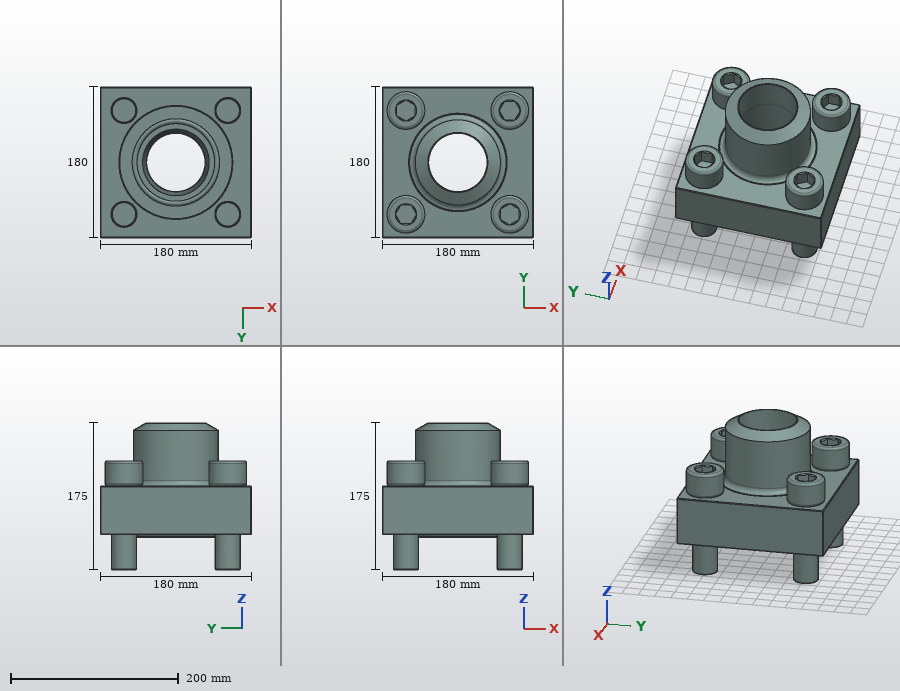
import cadquery as cq
import math

PLATE_TOP = 100.0
PLATE_THICKNESS = 58.0
PLATE_BOTTOM = PLATE_TOP - PLATE_THICKNESS
TUBE_TOP = 175.0
COLLAR_PROJECTION = 2.0
COLLAR_BOTTOM = PLATE_BOTTOM - COLLAR_PROJECTION

PLATE_SIDE = 180.0
PLATE_CHAMFER = 1.0
TUBE_HOLE_DIA = 115.5
TUBE_HOLE_CHAMFER = 1.0
COLLAR_RECESS_DIA = 136.0
BOLT_HOLE_DIA = 31.0

PIPE_DIA = 101.6
PIPE_BORE_DIA = 69.6
NECK_DIA = 115.0
COLLAR_DIA = 135.0
COLLAR_HEIGHT = 25.0
COLLAR_CHAMFER = 0.5
COLLAR_TOP = COLLAR_BOTTOM + COLLAR_HEIGHT
FOOT_BORE_DIA = 79.5
BORE_TAPER_TOP = 137.5
LIP_WIDTH = 1.0
BEVEL_ANGLE = 30.0
NECK_FILLET = (NECK_DIA - PIPE_DIA) / 2

GROOVE_INNER_DIA = 92.5
GROOVE_OUTER_DIA = 104.23
SEAL_THICKNESS = (GROOVE_OUTER_DIA - GROOVE_INNER_DIA) / 2
SEAL_MEAN_RADIUS = (GROOVE_OUTER_DIA + GROOVE_INNER_DIA) / 4
SEAL_PROJECTION = 1.6
GROOVE_DEPTH = SEAL_THICKNESS - SEAL_PROJECTION

BOLT_CIRCLE_DIA = 175.0
BOLT_COUNT = 4
SHANK_DIA = 30.0
SHANK_CHAMFER = 1.0
HEAD_DIA = 45.0
HEAD_HEIGHT = 30.0
HEAD_FILLET = 3.0
SOCKET_CORNER_DIA = 25.4
SOCKET_FLAT_DIA = SOCKET_CORNER_DIA * math.cos(math.pi / 6)
SOCKET_DEPTH = 18.0
FIRST_BOLT_ANGLE = 45.0
BOLT_ANGLES = [FIRST_BOLT_ANGLE + i * 360 / BOLT_COUNT for i in range(BOLT_COUNT)]


def cylinder(diameter, bottom, top):
    return cq.Workplane("XY").workplane(offset=bottom).circle(diameter / 2).extrude(top - bottom)


def make_plate():
    plate = (
        cq.Workplane("XY")
        .workplane(offset=PLATE_BOTTOM)
        .rect(PLATE_SIDE, PLATE_SIDE)
        .extrude(PLATE_THICKNESS)
        .edges()
        .chamfer(PLATE_CHAMFER)
    )
    plate = plate.cut(cylinder(TUBE_HOLE_DIA, PLATE_BOTTOM, PLATE_TOP))
    plate = plate.edges("%CIRCLE").edges(">Z").chamfer(TUBE_HOLE_CHAMFER)
    plate = plate.cut(cylinder(COLLAR_RECESS_DIA, PLATE_BOTTOM, COLLAR_TOP))
    bolt_holes = (
        cq.Workplane("XY")
        .workplane(offset=PLATE_BOTTOM)
        .polarArray(BOLT_CIRCLE_DIA / 2, FIRST_BOLT_ANGLE, 360, BOLT_COUNT)
        .circle(BOLT_HOLE_DIA / 2)
        .extrude(PLATE_THICKNESS)
    )
    return plate.cut(bolt_holes)


def make_tube():
    lip_radius = PIPE_BORE_DIA / 2 + LIP_WIDTH
    pipe_radius = PIPE_DIA / 2
    bevel_height = (pipe_radius - lip_radius) * math.tan(math.radians(BEVEL_ANGLE))
    fillet_sag = NECK_FILLET * (1 - math.cos(math.pi / 4))
    tube = (
        cq.Workplane("XZ")
        .moveTo(PIPE_BORE_DIA / 2, TUBE_TOP)
        .lineTo(lip_radius, TUBE_TOP)
        .lineTo(pipe_radius, TUBE_TOP - bevel_height)
        .lineTo(pipe_radius, PLATE_TOP + NECK_FILLET)
        .threePointArc((pipe_radius + fillet_sag, PLATE_TOP + fillet_sag), (NECK_DIA / 2, PLATE_TOP))
        .lineTo(NECK_DIA / 2, COLLAR_TOP)
        .lineTo(COLLAR_DIA / 2, COLLAR_TOP)
        .lineTo(COLLAR_DIA / 2, COLLAR_BOTTOM + COLLAR_CHAMFER)
        .lineTo(COLLAR_DIA / 2 - COLLAR_CHAMFER, COLLAR_BOTTOM)
        .lineTo(FOOT_BORE_DIA / 2, COLLAR_BOTTOM)
        .lineTo(PIPE_BORE_DIA / 2, BORE_TAPER_TOP)
        .close()
        .revolve(360, (0, 0), (0, 1))
    )
    groove_top = COLLAR_BOTTOM + GROOVE_DEPTH
    groove = cylinder(GROOVE_OUTER_DIA, COLLAR_BOTTOM, groove_top)
    groove = groove.cut(cylinder(GROOVE_INNER_DIA, COLLAR_BOTTOM, groove_top))
    return tube.cut(groove)


def make_seal():
    centre_height = COLLAR_BOTTOM - SEAL_PROJECTION + SEAL_THICKNESS / 2
    return (
        cq.Workplane("XZ")
        .center(SEAL_MEAN_RADIUS, centre_height)
        .circle(SEAL_THICKNESS / 2)
        .revolve(360, (-SEAL_MEAN_RADIUS, 0), (-SEAL_MEAN_RADIUS, 1))
    )


def make_bolt(angle):
    head_top = PLATE_TOP + HEAD_HEIGHT
    shank = cylinder(SHANK_DIA, 0, PLATE_TOP).faces("<Z").chamfer(SHANK_CHAMFER)
    head = cylinder(HEAD_DIA, PLATE_TOP, head_top).edges().fillet(HEAD_FILLET)
    socket = (
        cq.Workplane("XY")
        .workplane(offset=head_top - SOCKET_DEPTH)
        .polygon(6, SOCKET_CORNER_DIA)
        .extrude(SOCKET_DEPTH)
    )
    countersink_depth = (SOCKET_CORNER_DIA - SOCKET_FLAT_DIA) / 2
    countersink = cq.Solid.makeCone(
        SOCKET_FLAT_DIA / 2,
        SOCKET_CORNER_DIA / 2,
        countersink_depth,
        pnt=cq.Vector(0, 0, head_top - countersink_depth),
    )
    bolt = shank.union(head).cut(socket).cut(countersink)
    bolt = bolt.rotate((0, 0, 0), (0, 0, 1), angle - FIRST_BOLT_ANGLE)
    x = BOLT_CIRCLE_DIA / 2 * math.cos(math.radians(angle))
    y = BOLT_CIRCLE_DIA / 2 * math.sin(math.radians(angle))
    return bolt.translate((x, y, 0))


plate = make_plate()
tube = make_tube()
seal = make_seal()
bolts = [make_bolt(angle) for angle in BOLT_ANGLES]

result = cq.Compound.makeCompound([plate.val(), tube.val(), seal.val(), *[bolt.val() for bolt in bolts]])